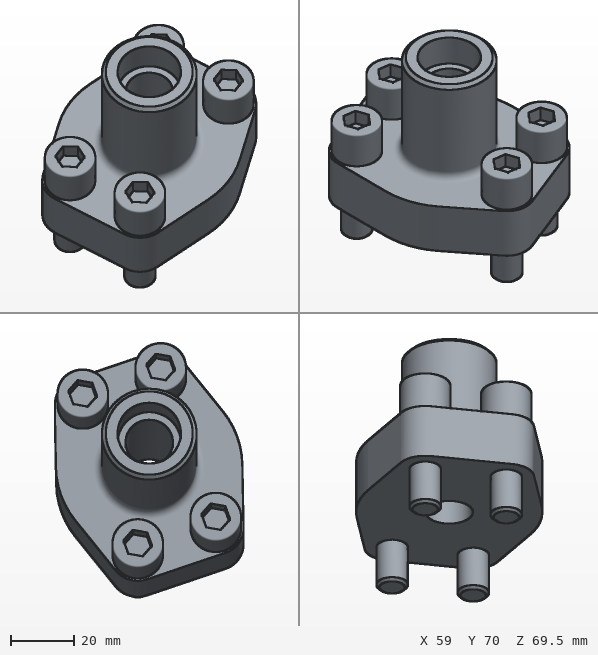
import cadquery as cq
import math

flange_length = 70.0
flange_width = 59.0
flange_thickness = 18.0

tube_diameter = 30.0
tube_height = 37.0
tube_chamfer = 1.25
tube_root_fillet = 2.5
bore_diameter = 15.0
socket_diameter = 20.0
socket_depth = 10.5

screw_x = 13.1
screw_y = 26.2
head_diameter = 16.0
head_height = 12.4
head_fillet = 0.5
shank_diameter = 10.0
shank_length = 14.5
shank_chamfer = 1.0
hex_flats = 8.0
hex_depth = 5.0

tube_top = flange_thickness + tube_height
head_top = flange_thickness + head_height


def make_flange():
    """Plate bounded by two side arcs, four corner arcs and their common tangents."""
    side_radius = flange_width / 2
    corner_radius = flange_length / 2 - screw_y
    screw_angle = math.atan2(screw_y, screw_x)
    screw_distance = math.hypot(screw_x, screw_y)
    tangent_angle = screw_angle - math.acos((side_radius - corner_radius) / screw_distance)
    corner_mid_angle = (tangent_angle + math.pi / 2) / 2

    side_x = side_radius * math.cos(tangent_angle)
    side_y = side_radius * math.sin(tangent_angle)
    corner_x = screw_x + corner_radius * math.cos(tangent_angle)
    corner_y = screw_y + corner_radius * math.sin(tangent_angle)
    mid_x = screw_x + corner_radius * math.cos(corner_mid_angle)
    mid_y = screw_y + corner_radius * math.sin(corner_mid_angle)
    end_y = flange_length / 2

    return (
        cq.Workplane("XY")
        .moveTo(side_x, -side_y)
        .threePointArc((side_radius, 0), (side_x, side_y))
        .lineTo(corner_x, corner_y)
        .threePointArc((mid_x, mid_y), (screw_x, end_y))
        .lineTo(-screw_x, end_y)
        .threePointArc((-mid_x, mid_y), (-corner_x, corner_y))
        .lineTo(-side_x, side_y)
        .threePointArc((-side_radius, 0), (-side_x, -side_y))
        .lineTo(-corner_x, -corner_y)
        .threePointArc((-mid_x, -mid_y), (-screw_x, -end_y))
        .lineTo(screw_x, -end_y)
        .threePointArc((mid_x, -mid_y), (corner_x, -corner_y))
        .close()
        .extrude(flange_thickness)
    )


def make_tube():
    """Chamfered tube with a concave fillet at its root."""
    radius = tube_diameter / 2
    root_radius = radius + tube_root_fillet
    fillet_top = flange_thickness + tube_root_fillet
    fillet_inset = tube_root_fillet * math.sqrt(0.5)
    return (
        cq.Workplane("XZ")
        .moveTo(0, 0)
        .lineTo(root_radius, 0)
        .lineTo(root_radius, flange_thickness)
        .threePointArc((root_radius - fillet_inset, fillet_top - fillet_inset), (radius, fillet_top))
        .lineTo(radius, tube_top - tube_chamfer)
        .lineTo(radius - tube_chamfer, tube_top)
        .lineTo(0, tube_top)
        .close()
        .revolve(360, (0, 0, 0), (0, 1, 0))
    )


def make_screw():
    """Screw on the Z axis, with its head resting on the flange top."""
    head = (
        cq.Workplane("XY", origin=(0, 0, flange_thickness))
        .circle(head_diameter / 2)
        .extrude(head_height)
        .faces(">Z")
        .edges()
        .fillet(head_fillet)
    )
    shank = (
        cq.Workplane("XY", origin=(0, 0, -shank_length))
        .circle(shank_diameter / 2)
        .extrude(shank_length + flange_thickness)
        .faces("<Z")
        .chamfer(shank_chamfer)
    )
    hex_corners = hex_flats / math.cos(math.pi / 6)
    hex_socket = (
        cq.Workplane("XY", origin=(0, 0, head_top))
        .polygon(6, hex_corners)
        .extrude(-hex_depth)
        .rotate((0, 0, 0), (0, 0, 1), 90)
    )
    return head.union(shank).cut(hex_socket)


body = make_flange().union(make_tube())

bore = cq.Workplane("XY").circle(bore_diameter / 2).extrude(tube_top)
socket = (
    cq.Workplane("XY", origin=(0, 0, tube_top))
    .circle(socket_diameter / 2)
    .extrude(-socket_depth)
)
body = body.cut(bore).cut(socket)

screw = make_screw()
for x in (-screw_x, screw_x):
    for y in (-screw_y, screw_y):
        body = body.union(screw.translate((x, y, 0)))

result = body